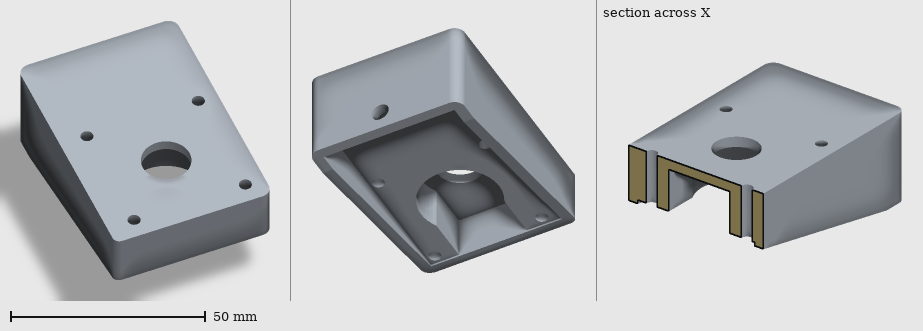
import cadquery as cq

length = 65.0
width = 44.0
height = 26.0
tip_height = 10.9
flat_length = 8.1
corner_radius = 3.0
small_corner_radius = 1.9

wall = 3.0
mount_underside = tip_height
recess_radius = 11.4
slot_width = 19.75

pattern_x = 44.0
pattern_y = 1.05
center_hole_diameter = 13.0
screw_hole_diameter = 3.4
screw_spacing = 31.1
cable_hole_diameter = 5.0
cable_hole_z = 5.5


def rounded_block():
    block = cq.Workplane("XY").box(length, width, height, centered=(False, True, False))
    block = block.edges("(|Z and <X) or (|Z and >X and >Y)").fillet(corner_radius)
    return block.edges("|Z and >X and <Y").fillet(small_corner_radius)


def lower_cavity():
    """Open-bottomed space inside the side walls, below the mounting block."""
    return (
        cq.Workplane("XY")
        .box(length - 2 * wall, width - 2 * wall, mount_underside, centered=(False, True, False))
        .translate((wall, 0, 0))
    )


def mount_recess():
    """Round recess and slot in the mounting block, up to the top plate."""
    depth = height - wall - mount_underside
    slot_length = length - wall - pattern_x
    plane = cq.Workplane("XY", origin=(pattern_x, pattern_y, mount_underside))
    recess = plane.circle(recess_radius).extrude(depth)
    slot = plane.center(slot_length / 2, 0).rect(slot_length, slot_width).extrude(depth)
    return recess.union(slot)


def underside_wedge():
    """Material below the slope, across the full width."""
    return (
        cq.Workplane("XZ")
        .polyline([(flat_length, 0), (length, 0), (length, tip_height)])
        .close()
        .extrude(width / 2, both=True)
    )


def top_holes():
    plane = cq.Workplane("XY").center(pattern_x, pattern_y)
    center_hole = plane.circle(center_hole_diameter / 2).extrude(height)
    screw_holes = (
        plane.rect(screw_spacing, screw_spacing, forConstruction=True)
        .vertices()
        .circle(screw_hole_diameter / 2)
        .extrude(height)
    )
    return center_hole.union(screw_holes)


def cable_hole():
    """Hole through the wall at the deep end."""
    return (
        cq.Workplane("YZ")
        .center(pattern_y, cable_hole_z)
        .circle(cable_hole_diameter / 2)
        .extrude(wall)
    )


result = (
    rounded_block()
    .cut(lower_cavity())
    .cut(mount_recess())
    .cut(underside_wedge())
    .cut(top_holes())
    .cut(cable_hole())
)